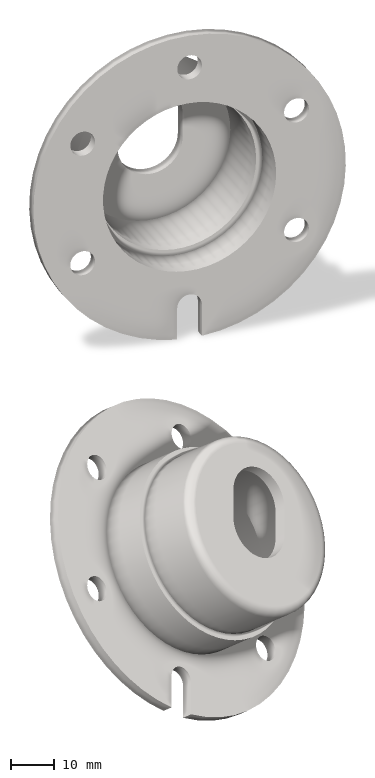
import cadquery as cq

flange_diameter = 75.95
flange_thickness = 2.7

overall_length = 29.0
base_diameter = 46.0
base_length = 11.25
nose_diameter = 43.0
nose_fillet = 2.0
nose_length = overall_length - flange_thickness - base_length

end_wall = 3.0
side_wall = 2.0
cavity_diameter = nose_diameter - 2 * side_wall
counterbore_diameter = base_diameter - 2 * side_wall
counterbore_depth = 9.0

window_width = 15.8
window_height = 22.0
window_offset = 3.0

bolt_diameter = 6.0
bolt_circle_radius = 30.0
bolt_count = 6

nose_x = -overall_length
base_x = -flange_thickness - base_length


def cylinder_along_x(start_x, length, diameter):
    return cq.Workplane("YZ", origin=(start_x, 0, 0)).circle(diameter / 2).extrude(length)


def make_body():
    flange = cylinder_along_x(-flange_thickness, flange_thickness, flange_diameter)
    base = cylinder_along_x(base_x, base_length, base_diameter)
    nose = cylinder_along_x(nose_x, nose_length, nose_diameter)
    nose = nose.faces("<X").edges().fillet(nose_fillet)
    return flange.union(base).union(nose)


def make_window():
    return (
        cq.Workplane("YZ", origin=(nose_x, 0, window_offset))
        .slot2D(window_height, window_width, 90)
        .extrude(overall_length)
    )


def make_bolt_holes():
    return (
        cq.Workplane("YZ", origin=(-flange_thickness, 0, 0))
        .polarArray(bolt_circle_radius, 90, 360, bolt_count)
        .circle(bolt_diameter / 2)
        .extrude(flange_thickness)
    )


def make_notch():
    notch_length = flange_diameter / 2 - bolt_circle_radius
    return (
        cq.Workplane("YZ", origin=(-flange_thickness, 0, -bolt_circle_radius - notch_length / 2))
        .rect(bolt_diameter, notch_length)
        .extrude(flange_thickness)
    )


cavity = cylinder_along_x(nose_x + end_wall, overall_length - end_wall, cavity_diameter)
counterbore = cylinder_along_x(-counterbore_depth, counterbore_depth, counterbore_diameter)

result = make_body().cut(cavity).cut(counterbore).cut(make_window()).cut(make_bolt_holes()).cut(make_notch())